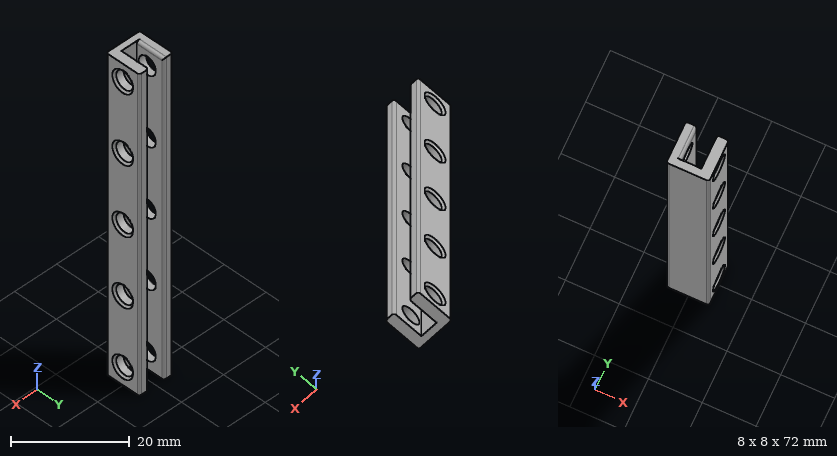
import cadquery as cq

length = 72.0
side = 8.0

wall = 2.15
floor = 1.5
edge_radius = 0.5

lead_in_radius = 0.65

hole_count = 5
hole_pitch = 16.0
first_hole_height = (length - (hole_count - 1) * hole_pitch) / 2
hole_diameter = 4.0
countersink_diameter = 5.0
countersink_depth = (countersink_diameter - hole_diameter) / 2


def channel():
    """U-channel open towards +Y, with rounded outer edges and wall tips."""
    body = cq.Workplane("XY").rect(side, side).extrude(length)
    slot_width = side - 2 * wall
    slot = (
        cq.Workplane("XY")
        .box(slot_width, side, length, centered=(True, False, False))
        .translate((0, -side / 2 + floor, 0))
    )
    body = body.cut(slot)
    return body.faces("<Y or >Y").edges("|Z").fillet(edge_radius)


def lead_in():
    """Material removed to round the top inner edge of the -X wall, above the floor."""
    inner_face = -side / 2 + wall
    return (
        cq.Workplane("XZ", origin=(0, side / 2, 0))
        .moveTo(inner_face, length)
        .lineTo(inner_face - lead_in_radius, length)
        .radiusArc((inner_face, length - lead_in_radius), lead_in_radius)
        .close()
        .extrude(side - floor)
    )


def cross_hole(height):
    """Hole through both walls, with a conical countersink on each outer face."""
    profile = (
        cq.Workplane("XY", origin=(0, 0, height))
        .moveTo(-side / 2, 0)
        .lineTo(-side / 2, countersink_diameter / 2)
        .lineTo(-side / 2 + countersink_depth, hole_diameter / 2)
        .lineTo(side / 2 - countersink_depth, hole_diameter / 2)
        .lineTo(side / 2, countersink_diameter / 2)
        .lineTo(side / 2, 0)
        .close()
    )
    return profile.revolve(360, (0, 0, 0), (1, 0, 0))


result = channel().cut(lead_in())
for index in range(hole_count):
    result = result.cut(cross_hole(first_hole_height + index * hole_pitch))